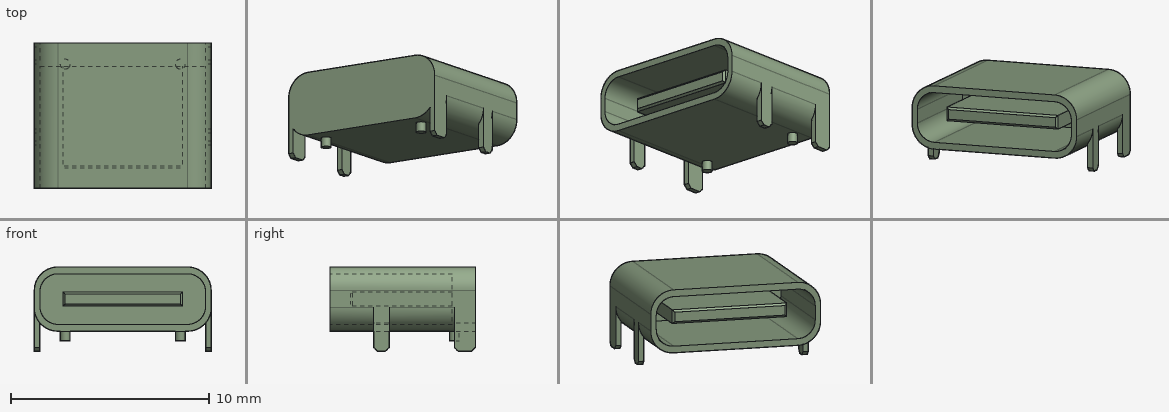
import cadquery as cq

width = 8.94
depth = 7.35
shell_height = 3.25
total_height = 4.27
corner_radius = 1.2
side_wall = 0.29
top_wall = 0.35
cavity_radius = 0.92
cavity_depth = 6.17

tongue_width = 6.03
tongue_thickness = 0.71
tongue_recess = 1.03
tongue_chamfer = 0.11

rear_leg_length = 1.07
front_leg_length = 0.8
front_leg_offset = 4.35
leg_chamfer = 0.21

pin_diameter = 0.5
pin_height = 0.48
pin_spacing = 5.81
pin_offset = 1.07

front = -depth / 2
back = depth / 2
shell_bottom = -shell_height / 2
leg_bottom = shell_height / 2 - total_height
leg_top = shell_bottom + corner_radius


def box_between(low, high):
    """Box between two opposite corners."""
    size = [b - a for a, b in zip(low, high)]
    return cq.Workplane("XY").box(*size, centered=False).translate(low)


def rounded_block(block_width, block_height, length, radius):
    """Block with rounded edges along Y, starting at the front face."""
    block = cq.Workplane("XY").box(block_width, length, block_height)
    return block.edges("|Y").fillet(radius).translate((0, front + length / 2, 0))


def make_shell():
    outer = rounded_block(width, shell_height, depth, corner_radius)
    cavity = rounded_block(
        width - 2 * side_wall, shell_height - 2 * top_wall, cavity_depth, cavity_radius
    )
    return outer.cut(cavity)


def make_tongue():
    half_width = tongue_width / 2
    half_thickness = tongue_thickness / 2
    tongue = box_between(
        (-half_width, front + tongue_recess, -half_thickness),
        (half_width, front + cavity_depth, half_thickness),
    )
    return tongue.faces("<Y").edges().chamfer(tongue_chamfer)


def make_leg(side, rear_y, length):
    """Leg on the left (side = -1) or right (side = 1), ending at rear_y."""
    leg = box_between(
        (-side_wall / 2, rear_y - length, leg_bottom),
        (side_wall / 2, rear_y, leg_top),
    )
    leg = leg.faces("<Z").edges("|X").chamfer(leg_chamfer)
    return leg.translate((side * (width - side_wall) / 2, 0, 0))


def make_pin(side):
    pin = cq.Workplane("XY").circle(pin_diameter / 2).extrude(-pin_height)
    return pin.translate((side * pin_spacing / 2, back - pin_offset, shell_bottom))


result = make_shell().union(make_tongue())
for side in (-1, 1):
    result = result.union(make_leg(side, back, rear_leg_length))
    result = result.union(make_leg(side, back - front_leg_offset, front_leg_length))
    result = result.union(make_pin(side))